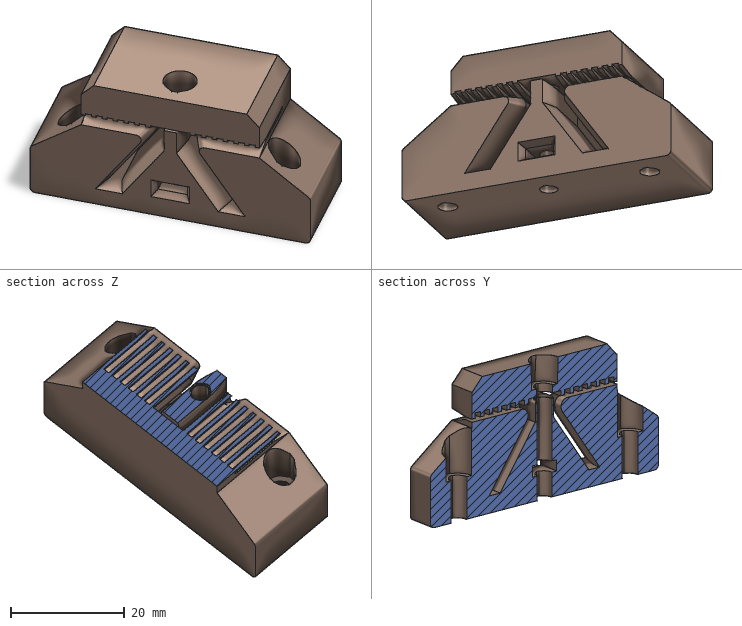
import cadquery as cq
import math

length = 52.0
depth = 18.4
height = 26.0
base_side_top_z = 9.95
shoulder_z = 16.85
head_width = 33.05
head_chamfer_x = 2.35
head_chamfer_z = 2.5
base_corner_radius = 1.0
front_y = -depth / 2

slot_depth = 13.7
mouth_depth = 3.9
slot_floor_z = 17.95
slot_land_z = 18.45
mouth_land_z = 19.1
slot_lip_radius = 1.5
mouth_lip_radius = 1.0
end_overshoot = 0.5
slot_half_length = head_width / 2 + end_overshoot

tooth_top_z = 19.45
tooth_width = 1.15
teeth_per_side = 6
first_tooth_x = 5.2
last_tooth_x = 15.2
tooth_pitch = (last_tooth_x - first_tooth_x) / (teeth_per_side - 1)
clear_ceiling_width = 7.3

leg_angle = 55.2
leg_foot_z = 3.35
slot_leg_foot_x = 12.5
mouth_leg_foot_x = 13.9

wedge_top_z = 19.0
wedge_back_gap = 0.45
wedge_neck_half = 2.15
wedge_tip_neck_half = 1.15
wedge_foot_half = 10.15
wedge_tip_foot_half = 8.9
wedge_top_radius = 0.85
wedge_tip_top_radius = 0.15

hole_y = -3.75
teardrop_angle = 35.0
teardrop_reach = 1.1
side_hole_x = 19.5
side_hole_radius = 1.75
side_head_radius = 2.85
side_head_floor_z = 8.0
head_hole_radius = 1.8
wedge_hole_radius = 1.6
center_head_floor_z = 21.0
center_head_floor_radius = 2.9
center_head_rim_radius = 3.0
center_head_rim_shift = 0.4

nut_center_z = 5.7
nut_width = 5.4
nut_height = 2.05
nut_pocket_depth = 8.6
nut_mouth_width = 7.2
nut_mouth_height = 3.65
nut_mouth_depth = 1.45

leg_slope = math.tan(math.radians(leg_angle))


def front_plane(distance):
    """Plane parallel to the front face, that far behind it; local x, y are X, Z."""
    return cq.Plane(origin=(0, front_y + distance, 0), xDir=(1, 0, 0), normal=(0, -1, 0))


def mirrored(points):
    """The points reflected across X = 0, in reverse order so that an outline can continue."""
    return [(-x, z) for x, z in reversed(points)]


def loft(front_wire, back_wire):
    return cq.Workplane(cq.Solid.makeLoft([front_wire, back_wire], True))


def make_block():
    base_half = length / 2
    head_half = head_width / 2
    right_side = [
        (base_half, 0),
        (base_half, base_side_top_z),
        (head_half, shoulder_z),
        (head_half, height - head_chamfer_z),
        (head_half - head_chamfer_x, height),
    ]
    block = cq.Workplane(front_plane(0)).polyline(right_side + mirrored(right_side)).close().extrude(-depth)
    return block.edges("|Y and (<X or >X)").fillet(base_corner_radius)


def channel_wire(distance, floor_z, land_z, foot_x, lip_radius):
    """Straight slot running into two sloping legs, with rounded lips where they meet."""
    lip_x = foot_x - (floor_z - leg_foot_z) / leg_slope
    angle = math.radians(leg_angle)
    setback = lip_radius / math.tan(angle / 2)
    center_x = lip_x + setback
    center_z = floor_z - lip_radius
    middle_turn = math.pi / 2 + (math.pi - angle) / 2
    arc_end = (lip_x + setback * math.cos(angle), floor_z - setback * math.sin(angle))
    arc_middle = (
        center_x + lip_radius * math.cos(middle_turn),
        center_z + lip_radius * math.sin(middle_turn),
    )
    outline = (
        cq.Workplane(front_plane(distance))
        .moveTo(-slot_half_length, land_z)
        .lineTo(slot_half_length, land_z)
        .lineTo(slot_half_length, floor_z)
        .lineTo(center_x, floor_z)
        .threePointArc(arc_middle, arc_end)
        .lineTo(foot_x, leg_foot_z)
        .lineTo(-foot_x, leg_foot_z)
        .lineTo(-arc_end[0], arc_end[1])
        .threePointArc((-arc_middle[0], arc_middle[1]), (-center_x, floor_z))
        .lineTo(-slot_half_length, floor_z)
        .close()
    )
    return outline.val()


def wedge_wire(distance, neck_half, foot_half, top_radius):
    """Upright neck with rounded top corners on a flaring foot."""
    neck_base_z = leg_foot_z + (foot_half - neck_half) * leg_slope
    corner_z = wedge_top_z - top_radius
    corner_x = neck_half - top_radius
    arc_middle = (
        corner_x + top_radius * math.sqrt(0.5),
        corner_z + top_radius * math.sqrt(0.5),
    )
    outline = (
        cq.Workplane(front_plane(distance))
        .moveTo(-corner_x, wedge_top_z)
        .lineTo(corner_x, wedge_top_z)
        .threePointArc(arc_middle, (neck_half, corner_z))
        .lineTo(neck_half, neck_base_z)
        .lineTo(foot_half, leg_foot_z)
        .lineTo(-foot_half, leg_foot_z)
        .lineTo(-neck_half, neck_base_z)
        .lineTo(-neck_half, corner_z)
        .threePointArc((-arc_middle[0], arc_middle[1]), (-corner_x, wedge_top_z))
        .close()
    )
    return outline.val()


def flared_prism(front_wire, middle_wire, straight_length):
    """Tapered from the front wire to the middle wire, then straight for straight_length."""
    straight = cq.Solid.extrudeLinear(middle_wire, [], cq.Vector(0, straight_length, 0))
    return loft(front_wire, middle_wire).union(cq.Workplane(straight))


def make_channel():
    return flared_prism(
        channel_wire(0, shoulder_z, mouth_land_z, mouth_leg_foot_x, mouth_lip_radius),
        channel_wire(mouth_depth, slot_floor_z, slot_land_z, slot_leg_foot_x, slot_lip_radius),
        slot_depth - mouth_depth,
    )


def make_wedge():
    return flared_prism(
        wedge_wire(0, wedge_tip_neck_half, wedge_tip_foot_half, wedge_tip_top_radius),
        wedge_wire(mouth_depth, wedge_neck_half, wedge_foot_half, wedge_top_radius),
        slot_depth - wedge_back_gap - mouth_depth,
    )


def make_ceiling_grooves():
    tooth_centers = [
        (side * (first_tooth_x + index * tooth_pitch), 0)
        for side in (-1, 1)
        for index in range(teeth_per_side)
    ]
    groove_height = tooth_top_z - slot_floor_z
    middle_z = (tooth_top_z + slot_floor_z) / 2
    plane = cq.Workplane(front_plane(0)).center(0, middle_z)
    clear_ceiling = plane.rect(clear_ceiling_width, groove_height).extrude(-slot_depth)
    teeth = plane.pushPoints(tooth_centers).rect(tooth_width, groove_height).extrude(-slot_depth)
    return clear_ceiling.union(teeth)


def teardrop(x, y, z, radius):
    """Circle whose front side runs along two tangents to a blunt point."""
    angle = math.radians(teardrop_angle)
    tangent_x = radius * math.sin(angle)
    tangent_y = -radius * math.cos(angle)
    blunt_y = -teardrop_reach * radius
    blunt_half = (radius / math.cos(angle) + blunt_y) / math.tan(angle)
    return (
        cq.Workplane("XY", origin=(x, y, z))
        .moveTo(-blunt_half, blunt_y)
        .lineTo(blunt_half, blunt_y)
        .lineTo(tangent_x, tangent_y)
        .threePointArc((0, radius), (-tangent_x, tangent_y))
        .close()
    )


def make_side_holes():
    holes = cq.Workplane("XY")
    for x in (-side_hole_x, side_hole_x):
        holes = holes.add(teardrop(x, hole_y, 0, side_hole_radius).extrude(height))
        holes = holes.add(teardrop(x, hole_y, side_head_floor_z, side_head_radius).extrude(height))
    return holes.combine()


def make_center_hole():
    shank = teardrop(0, hole_y, 0, wedge_hole_radius).extrude(height)
    clearance = teardrop(0, hole_y, slot_land_z, head_hole_radius).extrude(height - slot_land_z)
    head_recess = loft(
        teardrop(0, hole_y, center_head_floor_z, center_head_floor_radius).val(),
        teardrop(0, hole_y + center_head_rim_shift, height, center_head_rim_radius).val(),
    )
    return shank.union(clearance).union(head_recess)


def nut_wire(distance, width, pocket_height):
    return cq.Workplane(front_plane(distance)).center(0, nut_center_z).rect(width, pocket_height).val()


def make_nut_pocket():
    return flared_prism(
        nut_wire(0, nut_mouth_width, nut_mouth_height),
        nut_wire(nut_mouth_depth, nut_width, nut_height),
        nut_pocket_depth - nut_mouth_depth,
    )


result = (
    make_block()
    .cut(make_channel())
    .cut(make_ceiling_grooves())
    .union(make_wedge())
    .cut(make_side_holes())
    .cut(make_center_hole())
    .cut(make_nut_pocket())
)